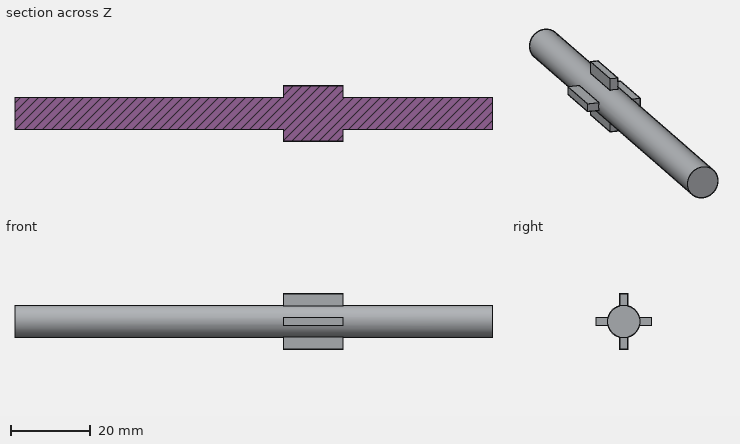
import cadquery as cq

shaft_length = 120.0
shaft_diameter = 8.2

fin_span = 14.0
fin_length = 15.0
fin_thickness = 2.0
fin_start = 67.5

fin_center_x = -shaft_length / 2 + fin_start + fin_length / 2

shaft = (
    cq.Workplane("YZ", origin=(-shaft_length / 2, 0, 0))
    .circle(shaft_diameter / 2)
    .extrude(shaft_length)
)


def fin_pair(width_y, height_z):
    """Bar through the shaft axis whose two ends form opposite fins."""
    return cq.Workplane("XY").box(fin_length, width_y, height_z).translate((fin_center_x, 0, 0))


result = shaft.union(fin_pair(fin_span, fin_thickness)).union(fin_pair(fin_thickness, fin_span))